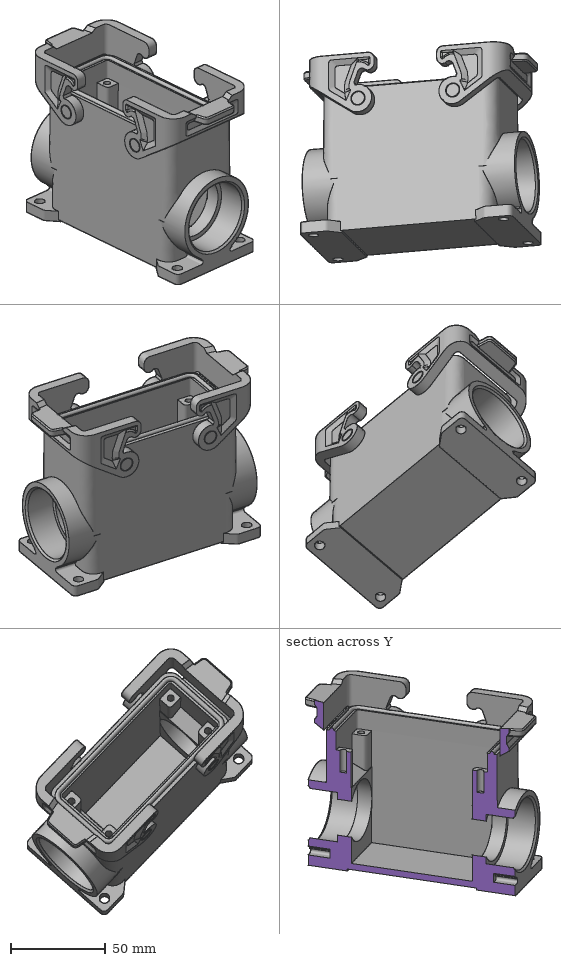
import cadquery as cq
import math

total_height = 96.8
tab_tip_x = 62.0

housing_base_z = 1.1
rim_z = 79.9
housing_half_x = 49.0
lower_half_x = 46.5
housing_half_y = 23.8
housing_draft = 0.5
housing_corner = 7.3

hub_face_x = 58.7
hub_axis_z = 30.3
hub_radius = 23.4
hub_inner_x = 38.5
seat_radius = 19.5
seat_end_x = 42.2
seat_chamfer = 1.1
bore_radius = 16.9
web_half_y = 11.3
web_groove_radius = 1.4

foot_thickness = 6.2
foot_half_y = 28.5
foot_corner = 2.7
foot_inner_x = 36.6
foot_inner_half_y = 23.2
foot_taper_x = 43.6
foot_hole_x = 52.5
foot_hole_y = 23.0
foot_hole_radius = 2.7

floor_z = 5.0
cavity_half_x = 42.7
cavity_half_y = 17.4
cavity_corner = 1.1
cavity_draft = 0.7
chamber_half_x = 34.1
block_slope = 25.0
block_top_z = 48.4
wall_overlap = 1.2
post_top_z = 69.0
post_inner_x = 34.3
post_inner_y = 9.7
post_corner = 2.0
post_hole_x = 38.8
post_hole_y = 13.4
post_hole_diameter = 3.6
post_hole_depth = 12.4

bead_radius = 1.4
bead_half_x = 45.4
bead_half_y = 19.7
bead_corner = 4.3

lever_outer_x = 55.2
lever_inner_x = 49.8
lever_tip_x = 17.2
lever_half_y = 29.0
lever_inner_half_y = 23.3
lever_outer_corner = 9.3
lever_inner_corner = 2.5
pivot_x = 26.2
pivot_z = 71.9
pivot_radius = 7.6
lever_slope = 34.5
hook_radius = 3.6
hook_center_z = 90.6
hook_arc_end = (-22.1, 87.3)
throat_top = (-23.9, 88.3)
throat_end = (-26.3, 86.4)
throat_foot = (-28.4, 80.8)
eye_contact = (-27.8, 79.4)
pin_radius = 3.8
pin_groove = 0.2
pin_start_y = 21.1

wall_slope = 60.0
side_recess_depth = 1.7
arm_recess_depth = 0.6
cheek_outer_limit_x = 39.7
end_recess_depth = 1.4
end_recess_half_y = 19.2
end_recess_bottom_z = 84.5
end_recess_top_z = 93.2
recess_corner = 3.5

tab_bottom_z = 90.4
tab_top_z = 94.9
tab_root_half_y = 13.0
tab_tip_half_y = 10.5
tab_corner = 2.7
tab_edge = 0.7
notch_flare = 2.6
notch_inner_half_y = 13.0
notch_outer_half_y = 12.2


def drafted_block(half_x, half_y, corner, z_low, z_high, draft):
    """Round-cornered block that narrows upward by the draft angle."""
    outline = cq.Sketch().rect(2 * half_x, 2 * half_y).vertices().fillet(corner)
    base = cq.Workplane("XY").workplane(offset=z_low).placeSketch(outline)
    return base.extrude(z_high - z_low, taper=draft)


def box_between(x_range, y_range, z_range):
    """Box given by its low and high limit on each axis."""
    size = [high - low for low, high in (x_range, y_range, z_range)]
    corner = (x_range[0], y_range[0], z_range[0])
    return cq.Workplane("XY").box(*size, centered=False).translate(corner)


def space_above(z):
    """Box over the whole plan of the part, from the given height up."""
    return box_between((-tab_tip_x, tab_tip_x), (-lever_half_y, lever_half_y), (z, total_height))


def with_mirror(shape, plane):
    """Shape together with its mirror image."""
    return shape.union(shape.mirror(plane))


def end_cylinder(radius, outer_x, inner_x):
    """Cylinder along X on the hub axis at the -X end."""
    plane = cq.Workplane("YZ", origin=(-outer_x, 0, hub_axis_z))
    return plane.circle(radius).extrude(outer_x - inner_x)


def housing():
    """Outer block, stepped in at both ends below the hub axis."""
    shared = (housing_half_y, housing_corner, housing_base_z, rim_z, housing_draft)
    block = drafted_block(housing_half_x, *shared)
    upper = block.intersect(space_above(hub_axis_z))
    return upper.union(drafted_block(lower_half_x, *shared))


def foot():
    """Mounting foot with two screw holes at the -X end."""
    plate = (
        cq.Workplane("XY")
        .moveTo(-hub_face_x, -foot_half_y)
        .lineTo(-foot_taper_x, -foot_half_y)
        .lineTo(-foot_inner_x, -foot_inner_half_y)
        .lineTo(-foot_inner_x, foot_inner_half_y)
        .lineTo(-foot_taper_x, foot_half_y)
        .lineTo(-hub_face_x, foot_half_y)
        .close()
        .extrude(foot_thickness)
    )
    plate = plate.edges("|Z and (<X or >Y or <Y)").fillet(foot_corner)
    holes = (
        cq.Workplane("XY")
        .pushPoints([(-foot_hole_x, -foot_hole_y), (-foot_hole_x, foot_hole_y)])
        .circle(foot_hole_radius)
        .extrude(foot_thickness)
    )
    return plate.cut(holes)


def hub():
    """Round cable hub and the web that joins it to the foot."""
    web = box_between((-hub_face_x, -hub_inner_x), (-web_half_y, web_half_y), (foot_thickness, hub_axis_z))
    groove_z = foot_thickness + web_groove_radius
    grooves = (
        cq.Workplane("YZ", origin=(-hub_face_x, 0, groove_z))
        .pushPoints([(-web_half_y, 0), (web_half_y, 0)])
        .circle(web_groove_radius)
        .extrude(hub_face_x - hub_inner_x)
    )
    return web.cut(grooves).union(end_cylinder(hub_radius, hub_face_x, hub_inner_x))


def entry_bore():
    """Chamfered gland seat followed by the through bore, to be cut out."""
    seat = end_cylinder(seat_radius, hub_face_x, seat_end_x)
    lead_in = (
        cq.Workplane("YZ", origin=(-hub_face_x, 0, hub_axis_z))
        .circle(seat_radius + seat_chamfer)
        .workplane(offset=seat_chamfer)
        .circle(seat_radius)
        .loft()
    )
    return seat.union(lead_in).union(end_cylinder(bore_radius, hub_face_x, chamber_half_x))


def cavity():
    """Inside space: straight mouth above the post tops, drafted walls below."""
    mouth = drafted_block(cavity_half_x, cavity_half_y, cavity_corner, post_top_z, rim_z, 0)
    outline = cq.Sketch().rect(2 * cavity_half_x, 2 * cavity_half_y).vertices().fillet(cavity_corner)
    top = cq.Workplane("XY", origin=(0, 0, post_top_z)).placeSketch(outline)
    return mouth.union(top.extrude(floor_z - post_top_z, taper=cavity_draft))


def end_block():
    """Thick lower end of the cavity with a sloping top."""
    outer_x = cavity_half_x + wall_overlap
    rise = (outer_x - chamber_half_x) * math.tan(math.radians(block_slope))
    outline = [
        (-outer_x, floor_z),
        (-chamber_half_x, floor_z),
        (-chamber_half_x, block_top_z),
        (-outer_x, block_top_z + rise),
    ]
    return cq.Workplane("XZ").polyline(outline).close().extrude(cavity_half_y, both=True)


def screw_posts():
    """Two posts with screw holes standing on the end block."""
    post = box_between(
        (-cavity_half_x, -post_inner_x),
        (-cavity_half_y, -post_inner_y),
        (block_top_z - wall_overlap, post_top_z),
    )
    post = post.edges("|Z and >X and >Y").fillet(post_corner)
    hole = (
        cq.Workplane("XY", origin=(-post_hole_x, -post_hole_y, post_top_z))
        .circle(post_hole_diameter / 2)
        .extrude(-post_hole_depth)
    )
    return with_mirror(post.cut(hole), "XZ")


def rim_bead():
    """Half-round sealing bead around the mouth, as a rod sunk halfway into the rim."""
    path = cq.Workplane("XY", origin=(0, 0, rim_z)).rect(2 * bead_half_x, 2 * bead_half_y).wires().val()
    path = path.fillet2D(bead_corner, path.Vertices())
    start = path.positionAt(0)
    profile_plane = cq.Plane(origin=start, normal=path.tangentAt(0))
    rod = cq.Workplane(profile_plane).circle(bead_radius).sweep(cq.Workplane(path))
    return rod.intersect(space_above(rim_z))


def lever_profile():
    """Side outline of the lever: end wall, hook and pivot eye, through the full width."""
    slope = math.radians(lever_slope)
    tangent_x = -pivot_x - pivot_radius * math.sin(slope)
    tangent_z = pivot_z - pivot_radius * math.cos(slope)
    corner_z = tangent_z + (lever_outer_x + tangent_x) * math.tan(slope)
    hook_center_x = -lever_tip_x - hook_radius
    arm = (
        cq.Workplane("XZ")
        .moveTo(-lever_outer_x, corner_z)
        .lineTo(-lever_outer_x, total_height)
        .lineTo(hook_center_x, total_height)
        .radiusArc((-lever_tip_x, total_height - hook_radius), hook_radius)
        .lineTo(-lever_tip_x, hook_center_z)
        .radiusArc((hook_center_x, hook_center_z - hook_radius), hook_radius)
        .lineTo(*hook_arc_end)
        .threePointArc(throat_top, throat_end)
        .lineTo(*throat_foot)
        .lineTo(*eye_contact)
        .lineTo(-pivot_x, pivot_z)
        .lineTo(tangent_x, tangent_z)
        .close()
        .extrude(lever_half_y, both=True)
    )
    eye = cq.Workplane("XZ").center(-pivot_x, pivot_z).circle(pivot_radius).extrude(lever_half_y, both=True)
    return arm.union(eye)


def lever_frame():
    """U-shaped bracket in plan, cut to the side outline."""
    outer = box_between((-lever_outer_x, 0), (-lever_half_y, lever_half_y), (0, total_height))
    outer = outer.edges("|Z and <X").fillet(lever_outer_corner)
    inner = box_between((-lever_inner_x, 0), (-lever_inner_half_y, lever_inner_half_y), (0, total_height))
    inner = inner.edges("|Z and <X").fillet(lever_inner_corner)
    return outer.cut(inner).intersect(lever_profile())


def sloped_recess(plane, outline, depth):
    """Tapered cutter with the given outline on the plane, sinking against its normal."""
    return plane.polyline(outline).close().extrude(-depth, taper=wall_slope)


def side_recesses():
    """Triangular recess and narrow hook recess in the -Y cheek of the lever."""
    cheek_recess = [
        (-42.3, 77.7),
        (-42.3, 94.2),
        (-26.0, 94.2),
        (-30.9, 81.1),
        (-31.1, 77.7),
        (-30.1, 76.8),
        (-32.7, 71.2),
    ]
    hook_recess = [
        (-26.8, 94.2),
        (-20.0, 94.2),
        (-19.3, 93.6),
        (-19.3, 90.6),
        (-20.5, 89.4),
        (-22.5, 91.0),
        (-24.7, 91.9),
        (-26.8, 91.9),
    ]
    plane = cq.Workplane("XZ", origin=(0, -lever_half_y, 0))
    cheek = sloped_recess(plane, cheek_recess, side_recess_depth)
    outer_edges = cq.selectors.BoxSelector(
        (-lever_outer_x, -lever_half_y, 0),
        (-cheek_outer_limit_x, 0, total_height),
    )
    cheek = cheek.edges("not(#Y)").edges(outer_edges).fillet(recess_corner)
    return cheek.union(sloped_recess(plane, hook_recess, arm_recess_depth))


def end_recess():
    """Rectangular recess in the outer face of the lever's end wall."""
    height = end_recess_top_z - end_recess_bottom_z
    middle_z = (end_recess_top_z + end_recess_bottom_z) / 2
    plane = cq.Workplane("YZ", origin=(-lever_outer_x, 0, middle_z))
    recess = plane.rect(2 * end_recess_half_y, height).extrude(end_recess_depth, taper=wall_slope)
    return recess.edges("not(#X)").fillet(recess_corner)


def notch_outline(half_y):
    """Trapezoid that widens from the tab to the top of the lever."""
    top_half_y = half_y + notch_flare
    return [
        (-half_y, tab_top_z),
        (half_y, tab_top_z),
        (top_half_y, total_height),
        (-top_half_y, total_height),
    ]


def tab_notch():
    """Notch in the top of the end wall above the tab, narrowing outward."""
    return (
        cq.Workplane("YZ", origin=(-lever_outer_x, 0, 0))
        .polyline(notch_outline(notch_outer_half_y))
        .close()
        .workplane(offset=lever_outer_x - lever_inner_x)
        .polyline(notch_outline(notch_inner_half_y))
        .close()
        .loft(ruled=True)
    )


def thumb_tab():
    """Tapering tab that sticks out of the end wall."""
    outline = [
        (-lever_inner_x, -tab_root_half_y),
        (-lever_inner_x, tab_root_half_y),
        (-tab_tip_x, tab_tip_half_y),
        (-tab_tip_x, -tab_tip_half_y),
    ]
    plane = cq.Workplane("XY", origin=(0, 0, tab_bottom_z))
    tab = plane.polyline(outline).close().extrude(tab_top_z - tab_bottom_z)
    tab = tab.edges("|Z and <X").fillet(tab_corner)
    return tab.faces("<X").edges("|Y").chamfer(tab_edge)


def pivot_pin():
    """Pivot pin through the -Y cheek into the housing wall, with a fine ring groove at its end."""
    plane = cq.Workplane("XZ", origin=(-pivot_x, -lever_half_y, pivot_z))
    pin = plane.circle(pin_radius).extrude(pin_start_y - lever_half_y)
    groove = plane.circle(pin_radius).circle(pin_radius - pin_groove).extrude(-pin_groove)
    return pin, groove


def lever():
    """Complete locking lever at the -X end."""
    pin, groove = pivot_pin()
    frame = lever_frame().cut(end_recess()).cut(tab_notch())
    frame = frame.cut(with_mirror(side_recesses(), "XZ"))
    frame = frame.union(thumb_tab()).union(with_mirror(pin, "XZ"))
    return frame.cut(with_mirror(groove, "XZ"))


end_inserts = end_block().union(screw_posts())
result = housing()
result = result.union(with_mirror(foot().union(hub()), "YZ"))
result = result.cut(cavity().cut(with_mirror(end_inserts, "YZ")))
result = result.cut(with_mirror(entry_bore(), "YZ"))
result = result.union(rim_bead())
result = result.union(with_mirror(lever(), "YZ"))